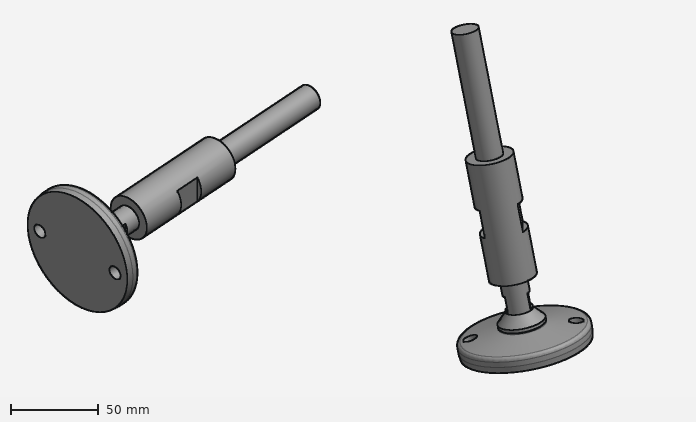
import cadquery as cq
import math


foot_diameter = 78.0
foot_radius = foot_diameter / 2
base_taper_height = 4.0
base_taper_inset = 0.5
foot_height = 13.5
foot_top_radius = 14.0
foot_slope = math.radians(9.5)
rim_fillet = 2.5

hole_diameter = 8.5
hole_base_offset = 29.0
hole_overrun = 5.0

total_height = 197.0
rod_diameter = 16.0
rod_radius = rod_diameter / 2
sleeve_diameter = 28.0
sleeve_radius = sleeve_diameter / 2
sleeve_start = 43.5
sleeve_length = 75.0
sleeve_end = sleeve_start + sleeve_length
seat_radius = 13.0
collar_rim_bottom = 14.2
collar_rim_top = 16.3
collar_top = 23.0

rod_flat_width = 13.0
rod_flat_start = 24.0
rod_flat_length = 9.5
sleeve_flat_width = 22.0
sleeve_flat_length = 17.0
sleeve_flat_start = sleeve_start + (sleeve_length - sleeve_flat_length) / 2


def revolve_about_y(outline):
    return outline.close().revolve(360, (0, 0, 0), (0, 1, 0))


def make_hole_cutter(side):
    """Tilted drill for one hole; side is -1 or +1 along X."""
    direction = cq.Vector(side * math.sin(foot_slope), math.cos(foot_slope), 0)
    start = cq.Vector(side * hole_base_offset, 0, 0) - direction * hole_overrun
    length = foot_height + 2 * hole_overrun
    return cq.Workplane(obj=cq.Solid.makeCylinder(hole_diameter / 2, length, start, direction))


def make_foot():
    cone_edge_height = foot_height - (foot_radius - foot_top_radius) * math.tan(foot_slope)
    foot = revolve_about_y(
        cq.Workplane("XY")
        .lineTo(foot_radius - base_taper_inset, 0)
        .lineTo(foot_radius, base_taper_height)
        .lineTo(foot_radius, cone_edge_height)
        .lineTo(foot_top_radius, foot_height)
        .lineTo(0, foot_height)
    )
    rim_edge = cq.selectors.NearestToPointSelector((0, cone_edge_height, 0))
    foot = foot.edges(rim_edge).fillet(rim_fillet)
    for side in (-1, 1):
        foot = foot.cut(make_hole_cutter(side))
    return foot


def cut_wrench_flats(body, width, start, length):
    """Remove everything beyond +-width/2 in X over the given stretch of Y."""
    depth = sleeve_diameter
    for side in (-1, 1):
        cutter = (
            cq.Workplane("XY")
            .box(depth, length, sleeve_diameter)
            .translate((side * (width + depth) / 2, start + length / 2, 0))
        )
        body = body.cut(cutter)
    return body


def make_spindle():
    spindle = revolve_about_y(
        cq.Workplane("XY")
        .moveTo(0, foot_height)
        .lineTo(seat_radius, foot_height)
        .lineTo(sleeve_radius, collar_rim_bottom)
        .lineTo(sleeve_radius, collar_rim_top)
        .lineTo(rod_radius, collar_top)
        .lineTo(rod_radius, sleeve_start)
        .lineTo(sleeve_radius, sleeve_start)
        .lineTo(sleeve_radius, sleeve_end)
        .lineTo(rod_radius, sleeve_end)
        .lineTo(rod_radius, total_height)
        .lineTo(0, total_height)
    )
    spindle = cut_wrench_flats(spindle, rod_flat_width, rod_flat_start, rod_flat_length)
    return cut_wrench_flats(spindle, sleeve_flat_width, sleeve_flat_start, sleeve_flat_length)


foot = make_foot()
spindle = make_spindle()
result = cq.Compound.makeCompound([foot.val(), spindle.val()])